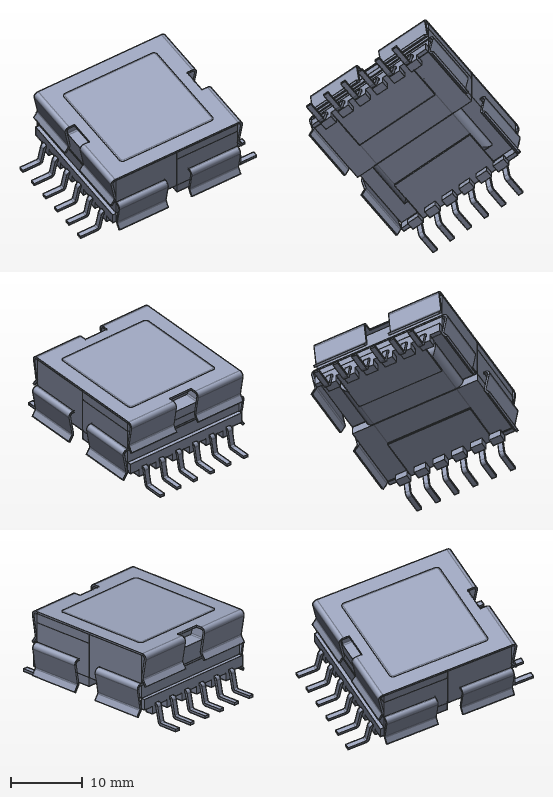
import cadquery as cq
import math

core_size = 20.0
core_height = 6.65
core_gap = 0.08
window_size = 15.4
layer_shift = 1.39
recess_depth = 1.8
recess_floor_width = 5.1
recess_wall_angle = 15.0
recess_fillet = 0.2

strip_thickness = 0.3
clip_reach = 10.93
roll_reach = 10.86
roll_radius = 0.68
flap_angle = 10.0
tip_angle = 34.0
pinch_drop = 3.95
pinch_radius = 0.28
notch_width = 3.9
notch_reach = 9.29
clip_spacing = 4.67

total_height = 11.43
pad_rise = 0.05
pad_slope_width = 0.2
pad_corner_radius = 0.55
winding_bottom = 3.18
winding_round = 1.07
rail_thickness = 0.59
rail_bottom = 2.8
foot_bottom = 1.65
foot_width = 1.83
foot_depth = 1.2
ledge_end = 4.0
pin_count = 6
pin_pitch = 3.0
pin_width = 0.75
pin_thickness = 0.4
pin_reach = 14.54
pin_exit_height = 3.02
pin_knee = 10.86
pin_ankle = 11.45
pin_bend_radius = 0.25

half_core = core_size / 2
half_window = window_size / 2
clip_top = total_height - pad_rise
core_top = clip_top - strip_thickness
core_bottom = core_top - core_height
recess_floor = core_top - recess_depth
back_bottom = core_bottom - layer_shift
rail_outer = half_core + rail_thickness


def block(x_range, y_range, z_range):
    """Box between two limits along each axis."""
    (x0, x1), (y0, y1), (z0, z1) = x_range, y_range, z_range
    return cq.Workplane("XY").box(x1 - x0, y1 - y0, z1 - z0, centered=False).translate((x0, y0, z0))


def side_of(path, index, offset):
    """Mitred point beside a vertex of a path, at a signed distance to its left."""
    before = path[max(index - 1, 0)]
    here = path[index]
    after = path[min(index + 1, len(path) - 1)]
    angles = []
    for start, end in ((before, here), (here, after)):
        if start != end:
            angles.append(math.atan2(end[1] - start[1], end[0] - start[0]))
    half_turn = (angles[-1] - angles[0]) / 2
    normal = angles[0] + half_turn + math.pi / 2
    length = offset / math.cos(half_turn)
    return (here[0] + length * math.cos(normal), here[1] + length * math.sin(normal))


def bent_strip(path, thickness, inside_radii, width):
    """Strip that follows a YZ path, centred on X = 0, with one rounded bend per inner vertex."""
    indices = range(len(path))
    left = [side_of(path, i, thickness / 2) for i in indices]
    right = [side_of(path, i, -thickness / 2) for i in indices]
    strip = (
        cq.Workplane("YZ").polyline(left + right[::-1]).close().extrude(width / 2, both=True)
    )
    for i, inside_radius in zip(indices[1:-1], inside_radii):
        (y0, z0), (y1, z1), (y2, z2) = path[i - 1:i + 2]
        turns_left = (y1 - y0) * (z2 - z1) > (z1 - z0) * (y2 - y1)
        left_radius = inside_radius if turns_left else inside_radius + thickness
        right_radius = inside_radius + thickness if turns_left else inside_radius
        for (y, z), radius in ((left[i], left_radius), (right[i], right_radius)):
            strip = strip.edges(cq.NearestToPointSelector((0, y, z))).fillet(radius)
    return strip


def both_ends(shape):
    """A shape and its copy turned half a turn about Z."""
    return shape.union(shape.rotate((0, 0, 0), (0, 0, 1), 180))


def make_clip():
    """Clip with its flaps at both Y ends and its plate top at clip_top."""
    half = strip_thickness / 2
    flap_lean = math.radians(flap_angle)
    tip_lean = math.radians(tip_angle)
    middle_radius = roll_radius - half
    roll_corner = roll_reach - roll_radius + middle_radius * math.tan((math.pi / 2 + flap_lean) / 2)
    plate_middle = clip_top - half
    pinch_z = clip_top - pinch_drop
    pinch_y = roll_corner - (plate_middle - pinch_z) * math.tan(flap_lean)
    tip_y = clip_reach - half * math.cos(tip_lean)
    tip_z = pinch_z - (tip_y - pinch_y) / math.tan(tip_lean)
    path = [(0, plate_middle), (roll_corner, plate_middle), (pinch_y, pinch_z), (tip_y, tip_z)]
    radii = [roll_radius - strip_thickness, pinch_radius]
    clip = both_ends(bent_strip(path, strip_thickness, radii, core_size))
    notch = block(
        (-notch_width / 2, notch_width / 2), (notch_reach, core_size), (0, total_height)
    )
    return clip.cut(both_ends(notch))


def make_core_half():
    """Half on the -Y side with a sloped dip in its back web; the winding later opens its window."""
    half = block((-half_core, half_core), (-half_core, -core_gap / 2), (core_bottom, core_top))
    spread = recess_depth * math.tan(math.radians(recess_wall_angle))
    floor = recess_floor_width / 2
    recess = (
        cq.Workplane("XZ")
        .polyline([
            (-floor, recess_floor),
            (floor, recess_floor),
            (floor + spread, core_top),
            (-floor - spread, core_top),
        ])
        .close()
        .extrude(core_size)
        .edges("|Y and <Z")
        .fillet(recess_fillet)
    )
    return half.cut(recess)


def make_winding():
    """Block that fills the core window, topped by a rounded pad."""
    span = (-half_window, half_window)
    winding = block(span, span, (winding_bottom, core_top)).faces("<Z").edges().fillet(winding_round)
    pad = (
        cq.Workplane("XY")
        .workplane(offset=core_top)
        .rect(window_size, window_size)
        .extrude(total_height - core_top)
        .edges("|Z")
        .fillet(pad_corner_radius)
        .faces(">Z")
        .chamfer(pad_rise, pad_slope_width)
    )
    return winding.union(pad)


def make_pin():
    """Gull-wing pin at the +Y end, starting inside the rail."""
    foot_middle = pin_thickness / 2
    path = [
        (half_core, pin_exit_height),
        (pin_knee, pin_exit_height),
        (pin_ankle, foot_middle),
        (pin_reach, foot_middle),
    ]
    return bent_strip(path, pin_thickness, [pin_bend_radius, pin_bend_radius], pin_width)


def make_rail():
    """Rail at the +Y end with its pins, their feet, and a ledge that joins it to the winding."""
    rail = block((-half_core, half_core), (half_core, rail_outer), (rail_bottom, core_bottom))
    pin = make_pin()
    foot = block(
        (-foot_width / 2, foot_width / 2),
        (rail_outer - foot_depth, rail_outer),
        (foot_bottom, rail_bottom),
    )
    for i in range(pin_count):
        x = (i - (pin_count - 1) / 2) * pin_pitch
        rail = rail.union(pin.translate((x, 0, 0))).union(foot.translate((x, 0, 0)))
    ledge_half = half_window - winding_round
    ledge = block((-ledge_half, ledge_half), (ledge_end, rail_outer), (rail_bottom, back_bottom))
    neck = block(
        (-ledge_half, ledge_half),
        (ledge_end, ledge_half),
        (rail_bottom, winding_bottom),
    )
    return rail.union(ledge).union(neck)


coil_former = make_winding().union(both_ends(make_rail()))

clip = make_clip()
upper_clip = clip.cut(coil_former)
lower_clip = clip.rotate((0, 0, 0), (0, 0, 1), 90).translate((0, 0, -clip_spacing)).cut(coil_former)

core_half = make_core_half()
front_core = core_half.cut(coil_former).cut(lower_clip)

back_half = core_half.rotate((0, 0, 0), (0, 0, 1), 180)
lowered_half = back_half.translate((0, 0, -layer_shift))
below_core = block((-core_size, core_size), (-core_size, core_size), (0, core_bottom))
back_cap = back_half.cut(lowered_half).cut(coil_former)
back_core = lowered_half.cut(below_core).cut(coil_former).cut(lower_clip)
back_base = lowered_half.intersect(below_core).cut(coil_former)

result = cq.Compound.makeCompound([
    upper_clip.solids().val(),
    lower_clip.solids().val(),
    front_core.solids().val(),
    back_cap.solids().val(),
    back_core.solids().val(),
    back_base.solids().val(),
    coil_former.solids().val(),
])